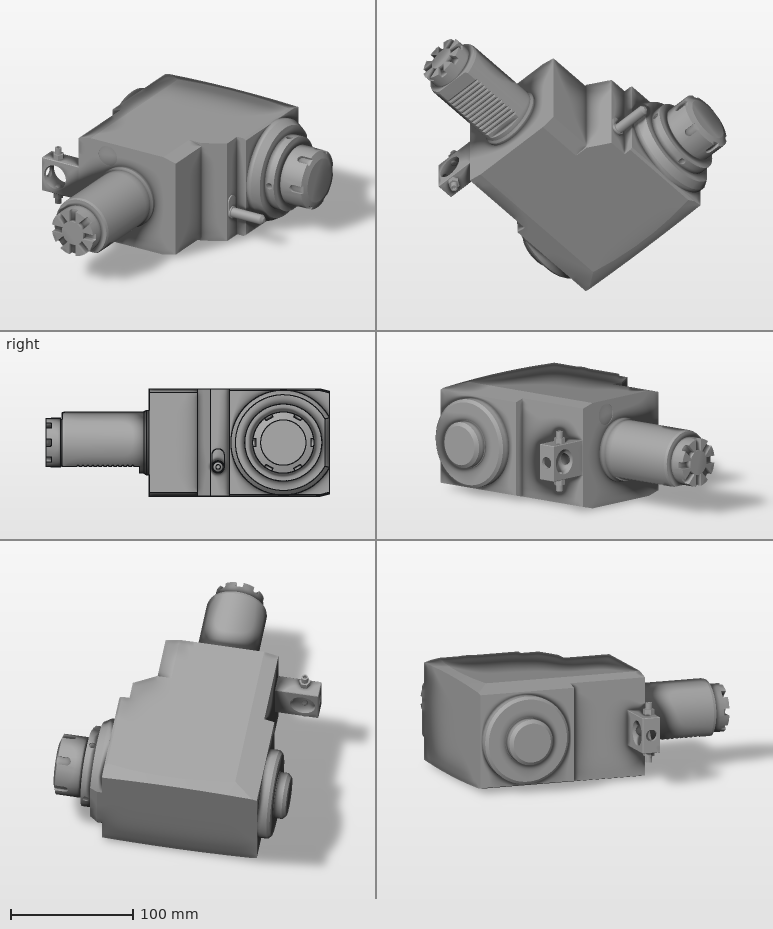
import cadquery as cq


HEIGHT = 88.0
TOP = HEIGHT / 2
BACK = 147.5
HEAD_START = 65.7
HEAD_LEFT = -55.2
HEAD_RIGHT = 73.5
NECK_HALF_WIDTH = 46.9
SHOULDER_X = 65.2
SHOULDER_Y = 50.0
CORNER_Y = 39.7
FLAT_HALF_WIDTH = 35.0
BEVEL_SLOPE = 0.25
HEAD_BEVEL = 2.0
HEAD_BEVEL_DROP = 1.5
CROWN_RADIUS = 290.0
CROWN_X = 18.3
CROWN_Y = 140.0
CROWN_SLOPE = 0.26
CROWN_REACH = 46.5
PLUG_HOLE_RADIUS = 8.8
PLUG_HOLE_DEPTH = 0.5
PLUG_HOLE_X = -18.5
PLUG_HOLE_Z = 32.0

SPINDLE_Y = 109.7
COVER_RADIUS = 36.7
COVER_FACE = -65.2
COVER_CHAMFER = 2.3
CAP_RADIUS = 19.0
CAP_FACE = -75.2
CAP_CHAMFER = 2.8
CAP_RIM_RADIUS = 20.0
CAP_RIM = 0.7
COLLAR_RADIUS = 43.0
COLLAR_STRAIGHT_END = 77.7
COLLAR_END = 84.0
COLLAR_CHAMFER = 3.7
RING_RADIUS = 31.5
RING_END = 92.5
RING_HOLE_RADIUS = 2.8
RING_HOLE_DEPTH = 1.2
RING_HOLE_CONE = 1.9
RING_HOLE_TIP_RADIUS = 0.2
RING_HOLE_COUNT = 4
SPINDLE_NECK_RADIUS = 20.6
NUT_START = 94.2
NUT_RADIUS = 25.0
NUT_CHAMFER = 1.0
NUT_SHOULDER = 114.8
NUT_END = 117.2
NUT_END_RADIUS = 18.5
NUT_SLOT_COUNT = 6
NUT_SLOT_WIDTH = 6.5
NUT_SLOT_START = 104.0
NUT_SLOT_FLOOR = 22.5

FLANGE_RADIUS = 26.5
FLANGE_THICKNESS = 2.3
SHANK_START = 4.5
SHANK_RADIUS = 25.0
SHANK_CHAMFER_START = 69.0
SHANK_END = 71.2
SHANK_END_RADIUS = 24.4
FLAT_START = 8.1
FLAT_Z = -19.7
NOTCH_COUNT = 12
NOTCH_ROW = 44.8
NOTCH_PITCH = NOTCH_ROW / (NOTCH_COUNT - 1)
NOTCH_WIDTH = 2.8
NOTCH_DEPTH = 1.2
FIRST_NOTCH = 13.5
DRIVE_RADIUS = 20.0
DRIVE_NECK_RADIUS = 19.0
DRIVE_NECK_END = 72.5
DRIVE_END = 84.5
DRIVE_SLOT_COUNT = 8
DRIVE_SLOT_WIDTH = 6.0
DRIVE_SLOT_DEPTH = 4.5
DRIVE_SLOT_FILLET = 1.0
DRIVE_CORE_RADIUS = 10.2

PIN_Y = 56.4
PIN_Z = -20.0
PIN_RADIUS = 4.2
PIN_END = 97.2
PIN_CHAMFER = 2.3
PIN_FLANGE_RADIUS = 5.0
PIN_FLANGE = 2.0
KEY_TOP = -5.0
KEY_THICKNESS = 1.0

BLOCK_LEFT = -82.8
BLOCK_FRONT = 0.5
BLOCK_BACK = 15.8
BLOCK_HEIGHT = 29.7
BLOCK_CHAMFER = 0.5
BORE_X = -69.8
BORE_RADIUS = 10.5
CROSS_HOLE_RADIUS = 4.9
CROSS_HOLE_END = -50.3
CROSS_HOLE_TIP = -48.5
CROSS_HOLE_TIP_RADIUS = 1.6
SCREW_Y = 5.5
SCREW_RADIUS = 2.8
SCREW_INNER = 9.3
SCREW_OUTER = 24.8
SCREW_CHAMFER = 1.0
SOCKET_DIAMETER = 3.7
SOCKET_DEPTH = 2.3
LOCKNUT_DIAMETER = 9.3
LOCKNUT_HEIGHT = 4.6

OVERLAP = 2.3
FAR = 232.0


def turned(points, axis_y=None):
    """Revolve an (along, radius) outline: about the spindle axis, or about -Y when axis_y is None."""
    start, end = points[0][0], points[-1][0]
    outline = [(start, 0)] + points + [(end, 0)]
    solid = cq.Workplane("XY").polyline(outline).close().revolve(360, (0, 0, 0), (1, 0, 0))
    if axis_y is None:
        return solid.rotate((0, 0, 0), (0, 0, 1), -90)
    return solid.translate((0, axis_y, 0))


def both_faces(cutter):
    """A cutter for the upper face together with its mirror image for the lower face."""
    return cutter.union(cutter.mirror("XY"))


def side_bevel(inner_x, outer_x, drop, y_start, y_end):
    """Wedge above a bevel falling by drop between inner_x and outer_x."""
    reach = 2 * (outer_x - inner_x)
    section = [(inner_x, TOP), (inner_x + reach, TOP), (inner_x + reach, TOP - 2 * drop)]
    wedge = cq.Workplane("XZ", origin=(0, y_start, 0)).polyline(section).close().extrude(y_start - y_end)
    return both_faces(wedge)


def make_housing():
    outline = [
        (-NECK_HALF_WIDTH, 0),
        (NECK_HALF_WIDTH, 0),
        (NECK_HALF_WIDTH, CORNER_Y),
        (SHOULDER_X, SHOULDER_Y),
        (SHOULDER_X, HEAD_START),
        (HEAD_RIGHT, HEAD_START),
        (HEAD_RIGHT, BACK),
        (HEAD_LEFT, BACK),
        (HEAD_LEFT, HEAD_START),
        (-NECK_HALF_WIDTH, HEAD_START),
    ]
    body = cq.Workplane("XY").polyline(outline).close().extrude(TOP, both=True)

    left_drop = BEVEL_SLOPE * (-HEAD_LEFT - FLAT_HALF_WIDTH)
    body = body.cut(side_bevel(-FLAT_HALF_WIDTH, HEAD_LEFT, left_drop, 0, BACK))
    right_drop = BEVEL_SLOPE * (NECK_HALF_WIDTH - FLAT_HALF_WIDTH)
    body = body.cut(side_bevel(FLAT_HALF_WIDTH, NECK_HALF_WIDTH, right_drop, 0, CORNER_Y))
    bevel_start = HEAD_RIGHT - HEAD_BEVEL
    body = body.cut(side_bevel(bevel_start, HEAD_RIGHT, HEAD_BEVEL_DROP, HEAD_START, BACK))

    crown_section = [
        (CROWN_RADIUS, TOP),
        (CROWN_RADIUS + CROWN_REACH, TOP),
        (CROWN_RADIUS + CROWN_REACH, TOP - CROWN_SLOPE * CROWN_REACH),
    ]
    crown = cq.Workplane("XZ").polyline(crown_section).close().revolve(360, (0, 0, 0), (0, 1, 0))
    crown = crown.translate((CROWN_X, CROWN_Y - CROWN_RADIUS, 0))
    rear = cq.Workplane("XY").box(FAR, BACK - SPINDLE_Y, FAR, centered=(True, False, True))
    crown = crown.intersect(rear.translate((0, SPINDLE_Y, 0)))
    body = body.cut(both_faces(crown))

    plug_hole = cq.Workplane("XZ", origin=(PLUG_HOLE_X, 0, PLUG_HOLE_Z)).circle(PLUG_HOLE_RADIUS)
    return body.cut(plug_hole.extrude(-PLUG_HOLE_DEPTH))


def make_rear_cover():
    return turned([
        (CAP_FACE, CAP_RADIUS - CAP_CHAMFER),
        (CAP_FACE + CAP_CHAMFER, CAP_RADIUS),
        (COVER_FACE - CAP_RIM, CAP_RADIUS),
        (COVER_FACE - CAP_RIM, CAP_RIM_RADIUS),
        (COVER_FACE, CAP_RIM_RADIUS),
        (COVER_FACE, COVER_RADIUS - COVER_CHAMFER),
        (COVER_FACE + COVER_CHAMFER, COVER_RADIUS),
        (HEAD_LEFT + OVERLAP, COVER_RADIUS),
    ], SPINDLE_Y)


def around_spindle(tool, count):
    """Copies of a tool spaced evenly about the spindle axis; the first one points to +Y or -Y."""
    copies = cq.Workplane("XY")
    for index in range(count):
        copies = copies.add(tool.rotate((0, 0, 0), (1, 0, 0), index * 360 / count))
    return copies.translate((0, SPINDLE_Y, 0)).combine()


def make_collar():
    """Collar on the right of the head, trimmed flush with the back and chamfered all round."""
    collar = cq.Workplane("YZ", origin=(HEAD_RIGHT, SPINDLE_Y, 0)).circle(COLLAR_RADIUS)
    collar = collar.extrude(COLLAR_END - HEAD_RIGHT)
    behind = cq.Workplane("XY").box(FAR, FAR, FAR, centered=(True, False, True)).translate((0, BACK, 0))
    collar = collar.cut(behind)
    return collar.faces(">X").edges().chamfer(COLLAR_END - COLLAR_STRAIGHT_END, COLLAR_CHAMFER)


def make_spindle():
    spindle = turned([
        (HEAD_RIGHT, RING_RADIUS),
        (RING_END, RING_RADIUS),
        (RING_END, SPINDLE_NECK_RADIUS),
        (NUT_START, SPINDLE_NECK_RADIUS),
        (NUT_START, NUT_RADIUS - NUT_CHAMFER),
        (NUT_START + NUT_CHAMFER, NUT_RADIUS),
        (NUT_SHOULDER, NUT_RADIUS),
        (NUT_END, NUT_END_RADIUS),
    ], SPINDLE_Y)

    half_width = NUT_SLOT_WIDTH / 2
    slot = (
        cq.Workplane("XZ", origin=(0, -NUT_SLOT_FLOOR, 0))
        .moveTo(NUT_END, half_width)
        .lineTo(NUT_SLOT_START + half_width, half_width)
        .threePointArc((NUT_SLOT_START, 0), (NUT_SLOT_START + half_width, -half_width))
        .lineTo(NUT_END, -half_width)
        .close()
        .extrude(NUT_RADIUS)
    )
    spindle = spindle.cut(around_spindle(slot, NUT_SLOT_COUNT))

    ring_hole_x = (COLLAR_END + RING_END) / 2
    hole = turned([
        (RING_RADIUS - RING_HOLE_DEPTH - RING_HOLE_CONE, RING_HOLE_TIP_RADIUS),
        (RING_RADIUS - RING_HOLE_DEPTH, RING_HOLE_RADIUS),
        (RING_RADIUS + OVERLAP, RING_HOLE_RADIUS),
    ]).translate((ring_hole_x, 0, 0))
    return spindle.cut(around_spindle(hole, RING_HOLE_COUNT))


def make_shank():
    shank = turned([
        (-OVERLAP, FLANGE_RADIUS),
        (FLANGE_THICKNESS, FLANGE_RADIUS),
        (SHANK_START, SHANK_RADIUS),
        (SHANK_CHAMFER_START, SHANK_RADIUS),
        (SHANK_END, SHANK_END_RADIUS),
        (SHANK_END, SHANK_END_RADIUS - OVERLAP),
    ])

    profile = cq.Workplane("YZ").moveTo(-FLAT_START, -FAR).lineTo(-FLAT_START, FLAT_Z)
    for index in range(NOTCH_COUNT):
        notch_y = -(FIRST_NOTCH + index * NOTCH_PITCH)
        profile = profile.lineTo(notch_y + NOTCH_WIDTH / 2, FLAT_Z)
        profile = profile.lineTo(notch_y, FLAT_Z + NOTCH_DEPTH)
        profile = profile.lineTo(notch_y - NOTCH_WIDTH / 2, FLAT_Z)
    profile = profile.lineTo(-SHANK_END, FLAT_Z).lineTo(-SHANK_END, -FAR).close()
    return shank.cut(profile.extrude(SHANK_RADIUS, both=True))


def make_drive_end():
    drive = turned([
        (SHANK_END - OVERLAP, DRIVE_NECK_RADIUS),
        (DRIVE_NECK_END, DRIVE_NECK_RADIUS),
        (DRIVE_NECK_END, DRIVE_RADIUS),
        (DRIVE_END, DRIVE_RADIUS),
    ])
    face = cq.Workplane("XZ", origin=(0, -DRIVE_END, 0))
    slot = face.rect(2 * SHANK_RADIUS, DRIVE_SLOT_WIDTH).extrude(-DRIVE_SLOT_DEPTH)
    slot = slot.faces(">Y").edges("|X").fillet(DRIVE_SLOT_FILLET)
    for index in range(DRIVE_SLOT_COUNT // 2):
        angle = index * 360 / DRIVE_SLOT_COUNT
        drive = drive.cut(slot.rotate((0, 0, 0), (0, 1, 0), angle))
    core = face.circle(DRIVE_CORE_RADIUS).extrude(-DRIVE_SLOT_DEPTH - OVERLAP)
    return drive.union(core)


def make_stop_pin():
    pin = turned([
        (SHOULDER_X - OVERLAP, PIN_FLANGE_RADIUS),
        (SHOULDER_X + PIN_FLANGE, PIN_FLANGE_RADIUS),
        (SHOULDER_X + PIN_FLANGE, PIN_RADIUS),
        (PIN_END - PIN_CHAMFER, PIN_RADIUS),
        (PIN_END, PIN_RADIUS - PIN_CHAMFER),
    ], PIN_Y).translate((0, 0, PIN_Z))

    key_bottom = PIN_Z - PIN_FLANGE_RADIUS
    key = (
        cq.Workplane("YZ", origin=(SHOULDER_X - OVERLAP, PIN_Y, (KEY_TOP + key_bottom) / 2))
        .slot2D(KEY_TOP - key_bottom, 2 * PIN_FLANGE_RADIUS, 90)
        .extrude(KEY_THICKNESS + OVERLAP)
    )
    return pin.union(key)


def make_coolant_block():
    depth = BLOCK_BACK - BLOCK_FRONT
    middle_y = (BLOCK_BACK + BLOCK_FRONT) / 2
    length = -NECK_HALF_WIDTH + OVERLAP - BLOCK_LEFT
    block = cq.Workplane("XY").box(length, depth, BLOCK_HEIGHT, centered=(False, True, True))
    block = block.translate((BLOCK_LEFT, middle_y, 0))
    block = block.edges("|X or <X").chamfer(BLOCK_CHAMFER)

    bore = cq.Workplane("XZ", origin=(BORE_X, BLOCK_BACK, 0)).circle(BORE_RADIUS).extrude(depth)
    cross_hole = turned([
        (BLOCK_LEFT, CROSS_HOLE_RADIUS),
        (CROSS_HOLE_END, CROSS_HOLE_RADIUS),
        (CROSS_HOLE_TIP, CROSS_HOLE_TIP_RADIUS),
    ], middle_y)
    block = block.cut(bore).cut(cross_hole)

    screw = cq.Workplane("XY", origin=(BORE_X, SCREW_Y, SCREW_INNER)).circle(SCREW_RADIUS)
    screw = screw.extrude(SCREW_OUTER - SCREW_INNER).faces("<Z").chamfer(SCREW_CHAMFER)
    socket = cq.Workplane("XY", origin=(BORE_X, SCREW_Y, SCREW_OUTER)).polygon(6, SOCKET_DIAMETER)
    screw = screw.cut(socket.extrude(-SOCKET_DEPTH))
    locknut = cq.Workplane("XY", origin=(BORE_X, SCREW_Y, BLOCK_HEIGHT / 2)).polygon(6, LOCKNUT_DIAMETER)
    return block.union(both_faces(screw.union(locknut.extrude(LOCKNUT_HEIGHT))))


result = (
    make_housing()
    .union(make_rear_cover())
    .union(make_collar())
    .union(make_spindle())
    .union(make_shank())
    .union(make_drive_end())
    .union(make_stop_pin())
    .union(make_coolant_block())
)